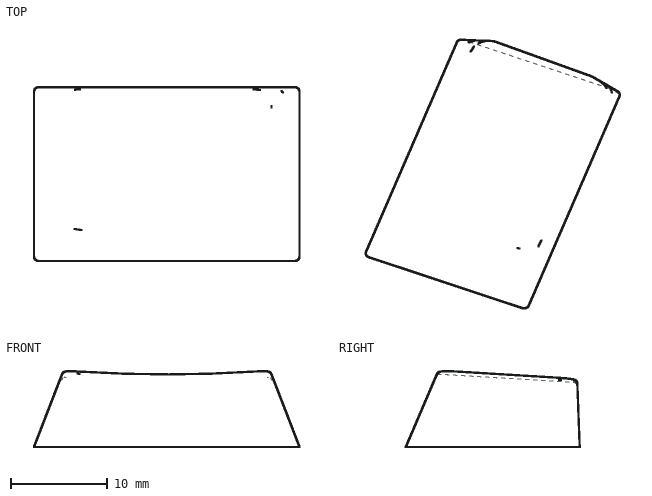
import cadquery as cq
import math

base_width = 27.62
base_depth = 18.1
base_corner_radius = 0.52

top_tilt = 3.5
side_inset = 3.15
back_inset = 0.28
front_inset = 3.54
outline_front_height = 8.29
top_corner_radius = 2.2

dish_radius = 135.35
dish_front_y = -5.65
dish_front_height = 7.57
dish_length = 55.25

rim_fillet = 0.45

tilt = math.radians(top_tilt)


def rounded_rectangle(width, depth, radius):
    """Rounded-rectangle sketch centred on the origin."""
    return cq.Sketch().rect(width, depth).vertices().fillet(radius)


def make_body():
    """Loft from the sharp-cornered base to the smaller, rounder upper outline."""
    level_depth = base_depth - front_inset - back_inset
    center_y = (front_inset - back_inset) / 2
    center_height = outline_front_height - level_depth / 2 * math.tan(tilt)
    location = cq.Location(cq.Vector(0, center_y, center_height), cq.Vector(1, 0, 0), -top_tilt)

    base = rounded_rectangle(base_width, base_depth, base_corner_radius)
    upper = rounded_rectangle(
        base_width - 2 * side_inset,
        level_depth / math.cos(tilt),
        top_corner_radius,
    ).moved(location)
    return cq.Workplane("XY").placeSketch(base, upper).loft(ruled=True)


def make_dish():
    """Tilted cylinder whose lowest line passes through the front of the top face."""
    axis_direction = cq.Vector(0, math.cos(tilt), -math.sin(tilt))
    upward = cq.Vector(0, math.sin(tilt), math.cos(tilt))
    lowest_point = cq.Vector(0, dish_front_y, dish_front_height)
    start = lowest_point + upward * dish_radius - axis_direction * (dish_length / 2)
    return cq.Solid.makeCylinder(dish_radius, dish_length, start, axis_direction)


dished_body = make_body().cut(cq.Workplane(make_dish()))

result = dished_body.faces(">Z").edges().fillet(rim_fillet)